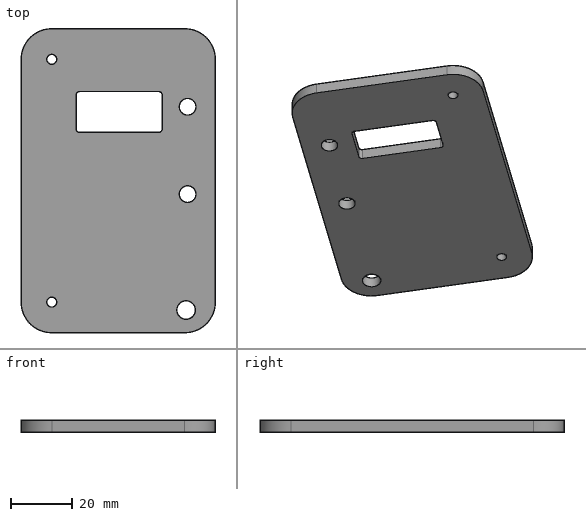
import cadquery as cq

length = 99.2
width = 63.4
thickness = 4.0
corner_radius = 10.0

window_width = 28.0
window_height = 13.2
window_corner_radius = 1.0
window_center = (0.3, 22.4)

screw_diameter = 3.2
screw_x = -width / 2 + corner_radius
screw_y = length / 2 - corner_radius

control_diameter = 5.4
control_x = 22.6
control_ys = (24.1, -4.4)

corner_hole_diameter = 6.0
corner_hole_center = (22.1, -42.2)


def through_holes(diameter, centers):
    """Cylinders spanning the plate thickness at the given XY centres."""
    return cq.Workplane("XY").pushPoints(centers).circle(diameter / 2).extrude(thickness)


plate = (
    cq.Workplane("XY")
    .rect(width, length)
    .extrude(thickness)
    .edges("|Z")
    .fillet(corner_radius)
)

window = (
    cq.Workplane("XY")
    .center(*window_center)
    .rect(window_width, window_height)
    .extrude(thickness)
    .edges("|Z")
    .fillet(window_corner_radius)
)

screw_holes = through_holes(screw_diameter, [(screw_x, -screw_y), (screw_x, screw_y)])
control_holes = through_holes(control_diameter, [(control_x, y) for y in control_ys])
corner_hole = through_holes(corner_hole_diameter, [corner_hole_center])

result = plate.cut(window).cut(screw_holes).cut(control_holes).cut(corner_hole)